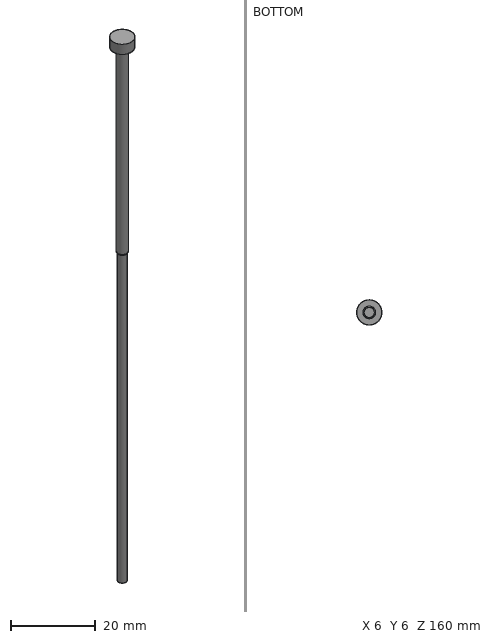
import cadquery as cq

total_length = 160.0
head_diameter = 6.0
head_height = 3.0
shank_diameter = 3.0
shank_end_from_top = 63.0
taper_height = 0.5
tip_diameter = 2.4

head_radius = head_diameter / 2
shank_radius = shank_diameter / 2
tip_radius = tip_diameter / 2

head_top_z = 0.0
head_bottom_z = head_top_z - head_height
shank_bottom_z = head_top_z - shank_end_from_top
taper_bottom_z = shank_bottom_z - taper_height
tip_z = head_top_z - total_length


def pin_half_profile():
    """Closed half section of the pin on the -X side of its axis."""
    return (
        cq.Workplane("XZ")
        .moveTo(0, head_top_z)
        .lineTo(-head_radius, head_top_z)
        .lineTo(-head_radius, head_bottom_z)
        .lineTo(-shank_radius, head_bottom_z)
        .lineTo(-shank_radius, shank_bottom_z)
        .lineTo(-tip_radius, taper_bottom_z)
        .lineTo(-tip_radius, tip_z)
        .lineTo(0, tip_z)
        .close()
    )


result = pin_half_profile().revolve(360, (0, 0, 0), (0, 1, 0))